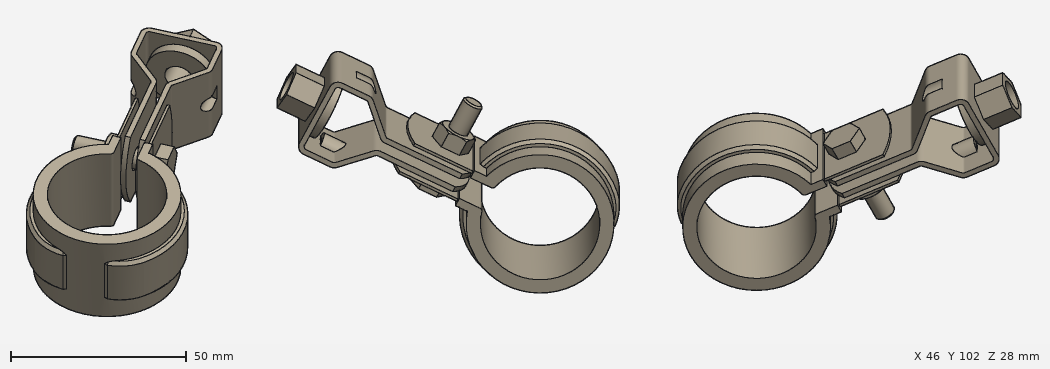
import cadquery as cq
import math


RING_BORE_R = 17.0
RING_OUTER_R = 21.05
RING_HEIGHT = 28.0
LIP_INNER_X = 3.5
LIP_OUTER_X = 6.0
LIP_TOP_Y = 24.0
LIP_FILLET = 1.0

PAD_R = 23.01
PAD_TAIL_R = 15.0
PAD_TAIL_ANGLE = 225.0
PAD_LAST_X = -6.65
PAD_END_X = -5.65
PAD_HEIGHT = 15.0
PAD_CHAMFER = 1.0
PAD_INNER_R = 19.0

STRAP_THICKNESS = 0.8
STRAP_R = (RING_BORE_R + RING_OUTER_R) / 2
STRAP_TAB_X = (LIP_INNER_X + LIP_OUTER_X) / 2
STRAP_TIP_Y = 44.9
STRAP_TIP_R = 35.0

SHEET = 1.6
BRACKET_WIDTH = 25.0
BRACKET_HALF_X = 12.15
BRACKET_TOP_Y = 71.97
SHOULDER_Y = 59.8
LEG_OUTER_X = 3.0
LEG_END_Y = 22.0
LEG_END_R = 20.0
BEND_INNER_R = 1.0
BEND_OUTER_R = BEND_INNER_R + SHEET

DENT_R = 2.5
DENT_TOP_Y = 64.8

HEX_FLATS = 12.0
HEX_LENGTH = 9.0
NECK_DIAMETER = 10.5
FLANGE_DIAMETER = 20.0
FLANGE_THICKNESS = 3.0
HEX_BORE = 8.5

BOLT_Y = 31.3
BOLT_DIAMETER = 6.0
BOLT_TIP_DIAMETER = 4.92
BOLT_LENGTH = 25.0
BOLT_FLATS = 10.0
BOLT_HEAD_HEIGHT = 4.0
NUT_HEIGHT = 5.0
NUT_CHAMFER_ANGLE = 30.0
BOLT_CLEARANCE = 7.0

CLAMP_FACE_X = STRAP_TAB_X + STRAP_THICKNESS / 2



def prism(sketch, height):
    """Extrude a closed XY outline, centred on Z = 0."""
    return sketch.extrude(height / 2, both=True)


def disc(radius, height):
    return prism(cq.Workplane("XY").circle(radius), height)


def block(x0, x1, y0, y1, height):
    """Box between two X and two Y limits, centred on Z = 0."""
    return cq.Workplane("XY").box(x1 - x0, y1 - y0, height).translate(((x0 + x1) / 2, (y0 + y1) / 2, 0))


def both_sides(body):
    """The body together with its mirror image across X = 0."""
    return body.union(body.mirror("YZ"))


def across_corners(across_flats):
    """Corner-to-corner size of a regular hexagon."""
    return across_flats / math.cos(math.radians(30))


def rod_x(diameter, x0, x1):
    """Round bar along X on the bolt axis."""
    plane = cq.Workplane("YZ", origin=(x0, BOLT_Y, 0))
    return plane.circle(diameter / 2).extrude(x1 - x0)


def hexagon_x(x0, x1):
    """Hexagonal bar along X on the bolt axis, with corners toward +Y and -Y."""
    plane = cq.Workplane("YZ", origin=(x0, BOLT_Y, 0))
    return plane.polygon(6, across_corners(BOLT_FLATS)).extrude(x1 - x0)


def rod_y(diameter, y0, y1, x=0.0):
    """Round bar along Y at height Z = 0."""
    plane = cq.Workplane("XZ", origin=(x, y1, 0))
    return plane.circle(diameter / 2).extrude(y1 - y0)


def rounding_x(center_y, radius):
    """Large round bar along X that rounds off the end of a flat strip."""
    plane = cq.Workplane("YZ", origin=(0, center_y, 0))
    return plane.circle(radius).extrude(BRACKET_HALF_X, both=True)


def bolt_clearance():
    return rod_x(BOLT_CLEARANCE, -BRACKET_HALF_X, BRACKET_HALF_X)



def make_strap():
    half = STRAP_THICKNESS / 2
    hoop = disc(STRAP_R + half, BRACKET_WIDTH).cut(disc(STRAP_R - half, BRACKET_WIDTH))
    tab_outer = STRAP_TAB_X + half
    tab_inner = STRAP_TAB_X - half
    hoop = hoop.cut(block(-tab_inner, tab_inner, 0, RING_OUTER_R, BRACKET_WIDTH))

    tab_base_y = math.sqrt((STRAP_R - half) ** 2 - tab_outer ** 2)
    tab = block(-tab_outer, -tab_inner, tab_base_y, STRAP_TIP_Y, BRACKET_WIDTH)
    tip = rounding_x(STRAP_TIP_Y - STRAP_TIP_R, STRAP_TIP_R)
    return hoop.union(both_sides(tab.intersect(tip))).cut(bolt_clearance())



def make_pad():
    """Left pad: an arc around the ring, a smaller tail arc and a short run-out."""
    tail_direction = math.radians(PAD_TAIL_ANGLE)
    ux = math.cos(tail_direction)
    uy = math.sin(tail_direction)
    tail_cx = (PAD_R - PAD_TAIL_R) * ux
    tail_cy = (PAD_R - PAD_TAIL_R) * uy

    last_angle = math.acos((PAD_LAST_X - tail_cx) / PAD_TAIL_R)
    last = (PAD_LAST_X, tail_cy - PAD_TAIL_R * math.sin(last_angle))
    middle_angle = (tail_direction + 2 * math.pi - last_angle) / 2
    tail_middle = (
        tail_cx + PAD_TAIL_R * math.cos(middle_angle),
        tail_cy + PAD_TAIL_R * math.sin(middle_angle),
    )

    def on_circle(x, radius, side):
        return (x, side * math.sqrt(radius ** 2 - x ** 2))

    start_x = -(LIP_INNER_X + LIP_OUTER_X) / 2
    outline = (
        cq.Workplane("XY")
        .moveTo(*on_circle(start_x, PAD_R, 1))
        .threePointArc((-PAD_R, 0), (PAD_R * ux, PAD_R * uy))
        .threePointArc(tail_middle, last)
        .lineTo(*on_circle(PAD_END_X, RING_OUTER_R, -1))
        .lineTo(*on_circle(PAD_END_X, PAD_INNER_R, -1))
        .threePointArc((-PAD_INNER_R, 0), on_circle(start_x, PAD_INNER_R, 1))
        .close()
    )
    return prism(outline, PAD_HEIGHT).faces("|Z").edges().chamfer(PAD_CHAMFER)


def make_ring(strap):
    ring = disc(RING_OUTER_R, RING_HEIGHT)
    ring = ring.union(block(-LIP_OUTER_X, LIP_OUTER_X, 0, LIP_TOP_Y, RING_HEIGHT))
    ring = ring.union(both_sides(make_pad()))
    ring = ring.cut(disc(RING_BORE_R, RING_HEIGHT))
    ring = ring.cut(block(-LIP_INNER_X, LIP_INNER_X, 0, LIP_TOP_Y, RING_HEIGHT))
    corner_y = math.sqrt(RING_BORE_R ** 2 - LIP_INNER_X ** 2)
    for x in (-LIP_INNER_X, LIP_INNER_X):
        corner = cq.selectors.NearestToPointSelector((x, corner_y, 0))
        ring = ring.edges("|Z").edges(corner).fillet(LIP_FILLET)
    return ring.cut(strap)



def bracket_envelope(inset, shoulder_r, throat_r):
    """Solid bounded by the bracket's skin, moved inward by `inset`."""
    head_x = BRACKET_HALF_X - inset
    leg_x = LEG_OUTER_X - inset
    bend_shift = inset * math.tan(math.radians(22.5))
    shoulder_y = SHOULDER_Y + bend_shift
    throat_y = shoulder_y - (head_x - leg_x)
    top_y = BRACKET_TOP_Y - inset
    left = [(-leg_x, LEG_END_Y), (-leg_x, throat_y), (-head_x, shoulder_y), (-head_x, top_y)]
    right = [(-x, y) for x, y in reversed(left)]
    solid = prism(cq.Workplane("XY").polyline(left + right).close(), BRACKET_WIDTH)

    for side in (-1, 1):
        bends = ((leg_x, throat_y, throat_r), (head_x, shoulder_y, shoulder_r), (head_x, top_y, shoulder_r))
        for x, y, radius in bends:
            bend = cq.selectors.NearestToPointSelector((side * x, y, 0))
            solid = solid.edges("|Z").edges(bend).fillet(radius)
    return solid


def make_bracket():
    skin = bracket_envelope(0, BEND_OUTER_R, BEND_INNER_R)
    bracket = skin.cut(bracket_envelope(SHEET, BEND_INNER_R, BEND_OUTER_R))

    dent_bottom_y = SHOULDER_Y - 2 * (DENT_R + SHEET)
    for x in (-BRACKET_HALF_X, BRACKET_HALF_X):
        shell = rod_y(2 * (DENT_R + SHEET), dent_bottom_y, DENT_TOP_Y, x)
        bracket = bracket.union(shell.intersect(skin))
        bracket = bracket.cut(rod_y(2 * DENT_R, dent_bottom_y, DENT_TOP_Y, x))

    round_y = LEG_END_Y + LEG_END_R
    leg_end = block(-LEG_OUTER_X, LEG_OUTER_X, LEG_END_Y, round_y, BRACKET_WIDTH)
    bracket = bracket.cut(leg_end.cut(rounding_x(round_y, LEG_END_R)))

    seat_y = BRACKET_TOP_Y - SHEET
    bracket = bracket.cut(rod_y(NECK_DIAMETER, seat_y, BRACKET_TOP_Y))
    bracket = bracket.cut(rod_y(FLANGE_DIAMETER, seat_y - FLANGE_THICKNESS, seat_y))
    return bracket.cut(bolt_clearance())



def make_hex_nut():
    flange_y = BRACKET_TOP_Y - SHEET
    hex_end_y = BRACKET_TOP_Y + HEX_LENGTH
    bottom_y = flange_y - FLANGE_THICKNESS
    hexagon = (
        cq.Workplane("XZ", origin=(0, hex_end_y, 0))
        .transformed(rotate=(0, 0, 90))
        .polygon(6, across_corners(HEX_FLATS))
        .extrude(HEX_LENGTH)
    )
    neck = rod_y(NECK_DIAMETER, flange_y, BRACKET_TOP_Y)
    flange = rod_y(FLANGE_DIAMETER, bottom_y, flange_y)
    return hexagon.union(neck).union(flange).cut(rod_y(HEX_BORE, bottom_y, hex_end_y))



def make_bolt():
    tip_chamfer = (BOLT_DIAMETER - BOLT_TIP_DIAMETER) / 2
    shank = rod_x(BOLT_DIAMETER, CLAMP_FACE_X - BOLT_LENGTH, CLAMP_FACE_X).faces("<X").chamfer(tip_chamfer)
    return shank.union(hexagon_x(CLAMP_FACE_X, CLAMP_FACE_X + BOLT_HEAD_HEIGHT))


def make_bolt_nut():
    outer_x = -CLAMP_FACE_X - NUT_HEIGHT
    corner_r = across_corners(BOLT_FLATS) / 2
    chamfer_radial = corner_r - BOLT_FLATS / 2
    chamfer_axial = chamfer_radial * math.tan(math.radians(NUT_CHAMFER_ANGLE))
    envelope = rod_x(2 * corner_r, outer_x, -CLAMP_FACE_X).faces("<X").chamfer(chamfer_axial, chamfer_radial)
    nut = hexagon_x(outer_x, -CLAMP_FACE_X).intersect(envelope)
    return nut.cut(rod_x(BOLT_DIAMETER, outer_x, -CLAMP_FACE_X))


strap = make_strap()
ring = make_ring(strap)
bracket = make_bracket()
hex_nut = make_hex_nut()
bolt = make_bolt()
bolt_nut = make_bolt_nut()

bodies = [ring, strap, bracket, hex_nut, bolt, bolt_nut]
result = cq.Compound.makeCompound([body.solids().val() for body in bodies])